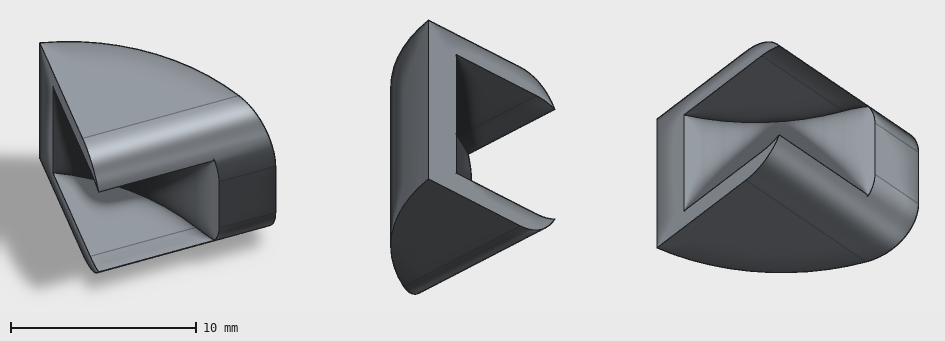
import cadquery as cq
import math

size = 10.0
edge_round = 3.0

back_center_x = 12.85
back_center_y = size - back_center_x
back_radius = math.hypot(back_center_x, back_center_y)

pocket_height = 7.45
pocket_center_x = 14.07
pocket_center_y = -5.95
pocket_radius = 13.34
pocket_round = 3.6
pocket_round_start_x = 8.25


def rounded_profile_prism(height, radius, round_start_x):
    """Prism along +Y from Y=0, flat at X=0 and with its two +X corners rounded."""
    end_x = round_start_x + radius
    return (
        cq.Workplane("XZ")
        .rect(end_x, height)
        .extrude(-size)
        .edges("|Y and >X")
        .fillet(radius)
        .translate((end_x / 2, 0, size / 2))
    )


def upright_cylinder(center_x, center_y, radius):
    """Full-height cylinder bounding a curved back wall."""
    return cq.Workplane("XY").center(center_x, center_y).circle(radius).extrude(size)


def make_body():
    block = rounded_profile_prism(size, edge_round, size - edge_round)
    return block.intersect(upright_cylinder(back_center_x, back_center_y, back_radius))


def make_pocket():
    opening = rounded_profile_prism(pocket_height, pocket_round, pocket_round_start_x)
    return opening.intersect(upright_cylinder(pocket_center_x, pocket_center_y, pocket_radius))


result = make_body().cut(make_pocket())